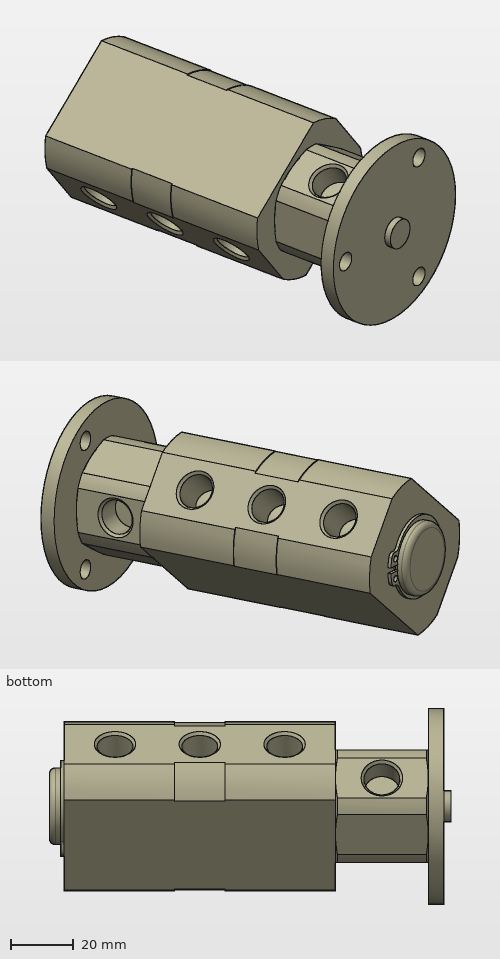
import cadquery as cq
import math


housing_tilt = 38.0
housing_long_side = 50.0
housing_short_side = 40.0
housing_corner_radius = 27.0
housing_start = 4.7
housing_length = 86.4
housing_end = housing_start + housing_length
housing_middle = housing_start + housing_length / 2
band_width = 16.1
band_radius = 26.8

port_diameter = 11.4
port_chamfer = 0.9
port_spacing = 27.0
neck_port_depth = 9.0
neck_port_angles = (0, 120, 240)

shaft_diameter = 24.5
shaft_end_fillet = 1.9
neck_sides = 6
neck_across_flats = 36.0
neck_corner_radius = 19.5
neck_end_radius = 17.9
neck_chamfer_length = 0.6
neck_length = 29.6
neck_end = housing_end + neck_length
neck_middle = housing_end + neck_length / 2

ring_thickness = 1.2
ring_start = housing_start - ring_thickness
ring_bore_diameter = 22.9
ring_outer_diameter = 27.5
ring_offset = 0.83
ear_tip_radius = 16.0
ear_half_width = 5.6
ear_fillet = 1.9
ear_gap = 1.9
ear_hole_diameter = 2.0
ear_hole_y = 13.2
ear_hole_z = 3.3

flange_diameter = 62.5
flange_thickness = 5.0
flange_hole_diameter = 6.3
flange_hole_circle_radius = 25.0
flange_hole_count = 3
flange_first_hole_angle = 180
pin_diameter = 10.0
overall_length = 128.0


def section_at(x):
    """Sketch plane across the axis: local x is +Y, local y is +Z."""
    return cq.Workplane("YZ", origin=(x, 0, 0))


def disc(start, end, diameter):
    """Round bar on the axis from start to end."""
    return section_at(start).circle(diameter / 2).extrude(end - start)


def port_cutter(x, angle, face_distance, depth):
    """Chamfered blind hole entering a flat whose normal is `angle` degrees from +Y towards +Z."""
    mouth_radius = port_diameter / 2 + port_chamfer
    floor = face_distance - depth
    profile = [
        (0, floor),
        (port_diameter / 2, floor),
        (port_diameter / 2, face_distance - port_chamfer),
        (mouth_radius, face_distance),
        (0, face_distance),
    ]
    cutter = cq.Workplane("XY").polyline(profile).close().revolve(360, (0, 0, 0), (0, 1, 0))
    return cutter.rotate((0, 0, 0), (1, 0, 0), angle).translate((x, 0, 0))


def make_housing():
    block = section_at(housing_start).rect(housing_long_side, housing_short_side).extrude(housing_length)
    block = block.intersect(disc(housing_start, housing_end, 2 * housing_corner_radius))

    band_start = housing_middle - band_width / 2
    band_end = housing_middle + band_width / 2
    band = disc(band_start, band_end, 2 * housing_corner_radius)
    band = band.cut(disc(band_start, band_end, 2 * band_radius))
    block = block.cut(band).rotate((0, 0, 0), (1, 0, 0), housing_tilt)

    face_distance = housing_long_side / 2
    for step in (-1, 0, 1):
        for angle in (housing_tilt, housing_tilt + 180):
            x = housing_middle + step * port_spacing
            block = block.cut(port_cutter(x, angle, face_distance, face_distance))
    return block.cut(disc(housing_start, housing_end, shaft_diameter))


def make_neck():
    """Hexagon with flats facing +Y and -Y, its corners turned down and its ends chamfered."""
    half_side_angle = 180 / neck_sides
    across_corners = neck_across_flats / math.cos(math.radians(half_side_angle))
    hexagon = section_at(housing_end).polygon(neck_sides, across_corners).extrude(neck_length)
    hexagon = hexagon.rotate((0, 0, 0), (1, 0, 0), half_side_angle)
    turned_profile = [
        (housing_end, 0),
        (housing_end, neck_end_radius),
        (housing_end + neck_chamfer_length, neck_corner_radius),
        (neck_end - neck_chamfer_length, neck_corner_radius),
        (neck_end, neck_end_radius),
        (neck_end, 0),
    ]
    turned = cq.Workplane("XY").polyline(turned_profile).close().revolve(360, (0, 0, 0), (1, 0, 0))
    neck = hexagon.intersect(turned)
    for angle in neck_port_angles:
        neck = neck.cut(port_cutter(neck_middle, angle, neck_across_flats / 2, neck_port_depth))
    return neck


def make_shaft():
    bar = disc(0, housing_end, shaft_diameter).faces("<X").edges().fillet(shaft_end_fillet)
    groove = disc(ring_start, housing_start, shaft_diameter)
    groove = groove.cut(disc(ring_start, housing_start, ring_bore_diameter))
    return bar.cut(groove).union(make_neck())


def make_retaining_ring():
    """Ring with an off-centre outside, split between two ears on the +Y side."""
    ring = (
        section_at(ring_start)
        .center(-ring_offset, 0)
        .circle(ring_outer_diameter / 2)
        .extrude(ring_thickness)
    )
    ears = (
        section_at(ring_start)
        .center(ear_tip_radius / 2, 0)
        .rect(ear_tip_radius, 2 * ear_half_width)
        .extrude(ring_thickness)
        .intersect(disc(ring_start, housing_start, 2 * ear_tip_radius))
    )
    gap = (
        section_at(ring_start)
        .center(ear_tip_radius / 2, 0)
        .rect(ear_tip_radius, ear_gap)
        .extrude(ring_thickness)
    )
    ear_holes = (
        section_at(ring_start)
        .pushPoints([(ear_hole_y, ear_hole_z), (ear_hole_y, -ear_hole_z)])
        .circle(ear_hole_diameter / 2)
        .extrude(ring_thickness)
    )
    bore = disc(ring_start, housing_start, ring_bore_diameter)
    rounded = ring.union(ears).edges("|X").edges(">Z or <Z").fillet(ear_fillet)
    return rounded.cut(bore).cut(gap).cut(ear_holes)


def make_flange():
    plate = disc(neck_end, neck_end + flange_thickness, flange_diameter)
    holes = (
        section_at(neck_end)
        .polarArray(flange_hole_circle_radius, flange_first_hole_angle, 360, flange_hole_count)
        .circle(flange_hole_diameter / 2)
        .extrude(flange_thickness)
    )
    return plate.cut(holes).cut(disc(neck_end, neck_end + flange_thickness, pin_diameter))


def make_pin():
    return disc(neck_end, overall_length, pin_diameter)


housing = make_housing()
shaft = make_shaft()
retaining_ring = make_retaining_ring()
flange = make_flange()
pin = make_pin()

result = cq.Compound.makeCompound(
    [housing.val(), shaft.val(), retaining_ring.val(), flange.val(), pin.val()]
)